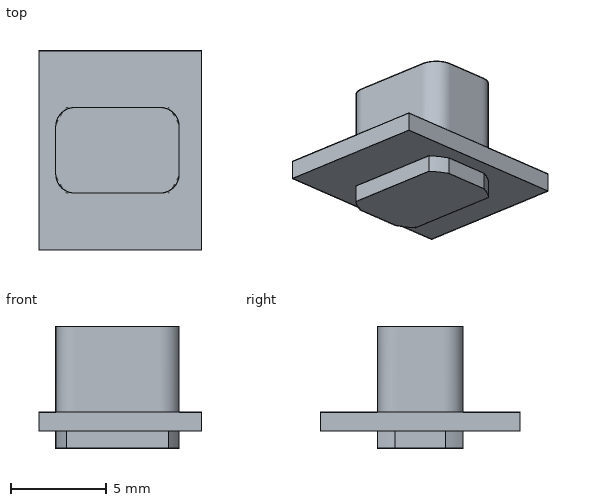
import cadquery as cq

total_height = 6.4
plate_width = 8.54
plate_depth = 10.48
plate_thickness = 1.0

footprint_width = 6.49
footprint_depth = 4.5
footprint_offset_x = -0.15
block_corner_radius = 1.01

foot_height = 0.9
foot_envelope_radius = 3.5
block_height = total_height - plate_thickness - foot_height


def make_plate():
    return cq.Workplane("XY").box(plate_width, plate_depth, plate_thickness, centered=(True, True, False))


def make_block():
    """Upright block with rounded vertical corners, standing on the plate."""
    return (
        cq.Workplane("XY", origin=(footprint_offset_x, 0, plate_thickness))
        .rect(footprint_width, footprint_depth)
        .extrude(block_height)
        .edges("|Z")
        .fillet(block_corner_radius)
    )


def make_foot():
    """Rectangular foot with its corners cut by a cylinder about the same centre."""
    underside = cq.Workplane("XY", origin=(footprint_offset_x, 0, 0))
    rectangle = underside.rect(footprint_width, footprint_depth).extrude(-foot_height)
    envelope = underside.circle(foot_envelope_radius).extrude(-foot_height)
    return rectangle.intersect(envelope)


result = make_plate().union(make_block()).union(make_foot())